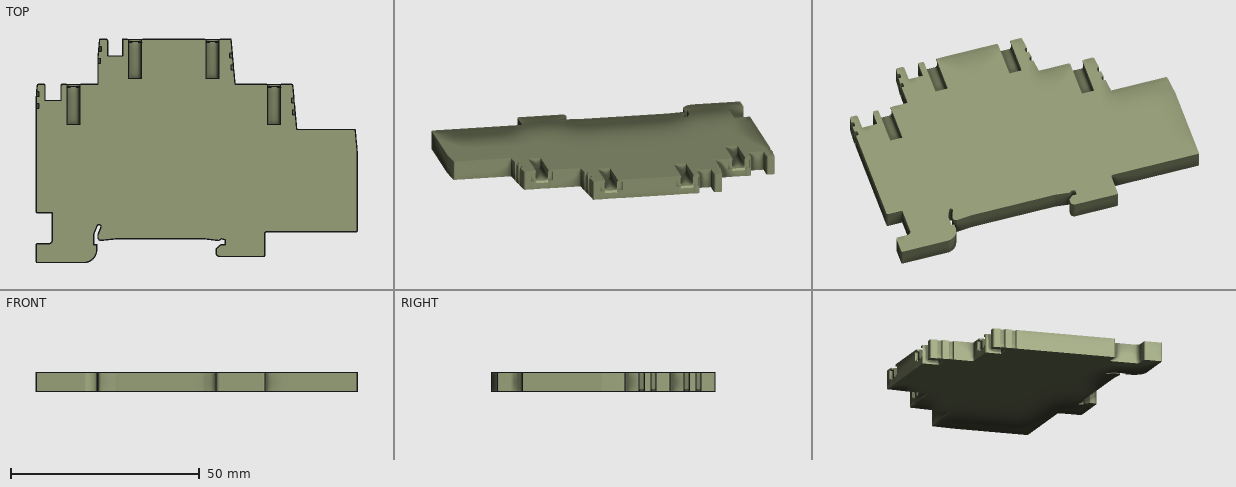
import cadquery as cq
length = 85.1
height = 59.2
thickness = 5.1

upper_top = height
middle_top = 47.3
shelf_top = 35.3

upper_left_x = 16.3
draft = 0.09
lower_draft_start = 44.2
upper_draft_start = 54.3
upper_right_x = 51.6
middle_right_x = 68.0
right_draft_start = 29.35

lower_slot_left, lower_slot_right, lower_slot_floor = 2.4, 6.55, 42.95
upper_slot_left, upper_slot_right, upper_slot_floor = 19.0, 22.9, 54.8
tip_radius = 0.5

left_notch_depth, left_notch_bottom, left_notch_top = 4.25, 5.0, 13.2
seat_y = 6.3
nub_y = 5.9
right_foot_y = 1.6
right_foot_left, right_foot_right = 47.6, 60.6
right_body_y = 8.2
rail_lip_y = 4.8
corner_radius = 0.3
foot_radius = 1.0

groove_width = 3.4
groove_floor_z = 2.1
groove_floor_radius = 0.85
recess_side = 1.3
recess_depth = 0.85
recess_top_z = 4.6
dip_depth = 0.1
dip_slant = 0.5
ramp_length = 0.6
groove_pitch = upper_left_x
lower_left_groove_x = 9.9
upper_right_groove_x = 46.7
upper_groove_end = 48.7
lower_groove_end = 36.6

notch_depth = 0.8
notch_height = 1.4
notch_back_radius = 0.3
notch_pitch = 3.15
notch_ramp_rise = 0.4
left_notch_drop = 2.6
right_notch_drop = 4.3
notch_rows = 2


def leaned(x, start_y, y):
    """X of a face that leans toward -X as it rises from start_y to y."""
    return x - draft * (y - start_y)


lower_tip_x = draft * (middle_top - lower_draft_start)
upper_tip_x = upper_left_x + draft * (upper_top - upper_draft_start)
upper_right_foot_x = leaned(upper_right_x, upper_top, middle_top)
middle_right_foot_x = leaned(middle_right_x, middle_top, shelf_top)
shelf_right_x = leaned(length, right_draft_start, shelf_top)

outline = (
    cq.Workplane("XY")
    .moveTo(0, 0)
    .lineTo(13.0, 0)
    .threePointArc((15.0, 0.9), (16.1, 3.3))
    .lineTo(16.1, rail_lip_y)
    .lineTo(15.3, rail_lip_y)
    .lineTo(15.3, 7.65)
    .lineTo(16.1, 9.5)
    .threePointArc((16.75, 10.0), (17.1, 9.3))
    .lineTo(16.3, 7.4)
    .lineTo(16.3, 6.7)
    .threePointArc((16.6, 6.1), (17.3, nub_y))
    .lineTo(21.2, seat_y)
    .lineTo(44.5, seat_y)
    .lineTo(48.1, nub_y)
    .lineTo(48.5, nub_y)
    .lineTo(49.1, seat_y)
    .lineTo(50.0, 6.0)
    .lineTo(50.0, rail_lip_y)
    .lineTo(48.9, rail_lip_y)
    .lineTo(right_foot_left, 3.7)
    .lineTo(right_foot_left, right_foot_y)
    .lineTo(right_foot_right, right_foot_y)
    .lineTo(right_foot_right, right_body_y)
    .lineTo(length, right_body_y)
    .lineTo(length, right_draft_start)
    .lineTo(shelf_right_x, shelf_top)
    .lineTo(middle_right_foot_x, shelf_top)
    .lineTo(middle_right_x, middle_top)
    .lineTo(upper_right_foot_x, middle_top)
    .lineTo(upper_right_x, upper_top)
    .lineTo(upper_slot_right, upper_top)
    .lineTo(upper_slot_right, upper_slot_floor)
    .lineTo(upper_slot_left, upper_slot_floor)
    .lineTo(upper_slot_left, upper_top)
    .lineTo(upper_tip_x, upper_top)
    .lineTo(upper_left_x, upper_draft_start)
    .lineTo(upper_left_x, middle_top)
    .lineTo(lower_slot_right, middle_top)
    .lineTo(lower_slot_right, lower_slot_floor)
    .lineTo(lower_slot_left, lower_slot_floor)
    .lineTo(lower_slot_left, middle_top)
    .lineTo(lower_tip_x, middle_top)
    .lineTo(0, lower_draft_start)
    .lineTo(0, left_notch_top)
    .lineTo(left_notch_depth, left_notch_top)
    .lineTo(left_notch_depth, left_notch_bottom)
    .lineTo(0, left_notch_bottom)
    .close()
)
body = outline.extrude(thickness)


def round_corner(solid, x, y, radius):
    """Fillet the full-height edge standing at (x, y)."""
    return solid.edges(cq.selectors.NearestToPointSelector((x, y, thickness / 2))).fillet(radius)


rounded_corners = [
    (lower_tip_x, middle_top, tip_radius),
    (lower_slot_left, middle_top, tip_radius),
    (lower_slot_right, middle_top, tip_radius),
    (upper_slot_left, upper_top, tip_radius),
    (middle_right_x, middle_top, tip_radius),
    (left_notch_depth, left_notch_bottom, foot_radius),
    (upper_tip_x, upper_top, corner_radius),
    (0, 0, corner_radius),
    (0, left_notch_bottom, corner_radius),
    (0, left_notch_top, corner_radius),
    (shelf_right_x, shelf_top, corner_radius),
    (length, right_body_y, corner_radius),
    (right_foot_left, right_foot_y, foot_radius),
    (right_foot_right, right_foot_y, corner_radius),
    (right_foot_right, right_body_y, tip_radius),
]
for corner_x, corner_y, radius in rounded_corners:
    body = round_corner(body, corner_x, corner_y, radius)


def groove(center_x, end_y, open_y):
    """Round-bottomed channel that runs out through the edge at open_y."""
    return (
        cq.Workplane("XY", origin=(center_x, (end_y + open_y) / 2, groove_floor_z))
        .rect(groove_width, open_y - end_y)
        .extrude(thickness - groove_floor_z)
        .edges("|Y and <Z")
        .fillet(groove_floor_radius)
    )


def mouth_recess(center_x, open_y):
    """Wide pocket in the edge face around the groove, under a thin lip."""
    return (
        cq.Workplane("XY", origin=(center_x, open_y - recess_depth / 2, groove_floor_z))
        .rect(groove_width + 2 * recess_side, recess_depth)
        .extrude(recess_top_z - groove_floor_z)
    )


def mouth_dip(center_x, open_y):
    """Shallow full-thickness dip in the edge with slanted ends."""
    half_floor = groove_width / 2
    half_top = half_floor + dip_slant
    return (
        cq.Workplane("XY", origin=(center_x, open_y, 0))
        .polyline([(-half_top, 0), (-half_floor, -dip_depth), (half_floor, -dip_depth), (half_top, 0)])
        .close()
        .extrude(thickness)
    )


def mouth_ramp(center_x, open_y):
    """Bevel that slopes the groove floor down toward the edge."""
    return (
        cq.Workplane("YZ", origin=(center_x - groove_width / 2, open_y, groove_floor_z))
        .polyline([(-ramp_length, 0), (0, -ramp_length), (0, 0)])
        .close()
        .extrude(groove_width)
    )


grooves = [
    (lower_left_groove_x, lower_groove_end, middle_top),
    (lower_left_groove_x + groove_pitch, upper_groove_end, upper_top),
    (upper_right_groove_x, upper_groove_end, upper_top),
    (upper_right_groove_x + groove_pitch, lower_groove_end, middle_top),
]
for center_x, end_y, open_y in grooves:
    body = body.cut(groove(center_x, end_y, open_y))
    body = body.cut(mouth_recess(center_x, open_y))
    body = body.cut(mouth_dip(center_x, open_y))
    body = body.cut(mouth_ramp(center_x, open_y))


def side_notch(face_x, center_y, inward):
    """Notch into a side face; inward is +1 or -1. Its floor ramps down to the face."""
    back_x = face_x + inward * notch_depth
    outer_x = face_x - inward * notch_depth
    profile = [
        (back_x, thickness),
        (back_x, notch_ramp_rise),
        (outer_x, -notch_ramp_rise),
        (outer_x, thickness),
    ]
    back_side = "<X" if inward < 0 else ">X"
    return (
        cq.Workplane("XZ", origin=(0, center_y + notch_height / 2, 0))
        .polyline(profile)
        .close()
        .extrude(notch_height)
        .faces(back_side)
        .edges("|Z")
        .fillet(notch_back_radius)
    )


for row in range(notch_rows):
    left_drop = left_notch_drop + row * notch_pitch
    right_drop = right_notch_drop + row * notch_pitch
    for top_x, top_y, wall_x in [(lower_tip_x, middle_top, 0), (upper_tip_x, upper_top, upper_left_x)]:
        face_x = max(wall_x, top_x - draft * left_drop)
        body = body.cut(side_notch(face_x, top_y - left_drop, 1))
    for top_x, top_y in [(upper_right_x, upper_top), (middle_right_x, middle_top)]:
        face_x = top_x + draft * right_drop
        body = body.cut(side_notch(face_x, top_y - right_drop, -1))

result = body